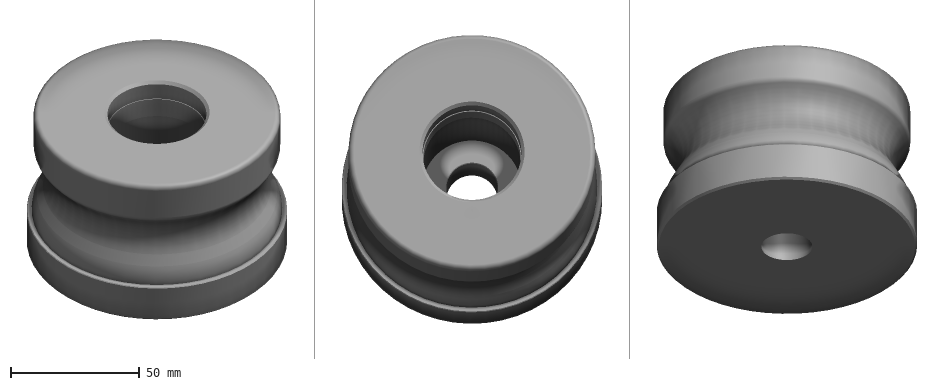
import cadquery as cq
import math

base_radius = 50.8
base_height = 16.0
base_bottom_chamfer = 0.8
base_edge_chamfer = 0.3
shaft_hole_radius = 10.0

total_height = 63.5
rim_radius = 48.2
rim_top_fillet = 2.0
rim_lower_fillet = 3.0
foot_radius = 48.9
waist_radius = 42.5
curve_radius = 15.0
flank_angle = math.radians(30)

bore_radius = 19.3
bore_chamfer_width = 1.2
bore_chamfer_depth = 1.0
land_radius = 19.0
land_top_depth = 8.0
land_height = 8.3


def arc_point(center, radius, angle):
    """Point (r, z) on a circle, angle counted from the +r direction."""
    return (center[0] + radius * math.cos(angle), center[1] + radius * math.sin(angle))


def make_base():
    """Flat disc with a through hole for the shaft."""
    disc = cq.Workplane("XY").circle(base_radius).extrude(base_height)
    disc = disc.faces("<Z").edges().chamfer(base_bottom_chamfer)
    disc = disc.cut(cq.Workplane("XY").circle(shaft_hole_radius).extrude(base_height))
    return disc.faces(">Z").edges().chamfer(base_edge_chamfer)


def make_wheel_blank():
    """Solid of revolution: convex foot, straight flank, concave waist and rounded rim."""
    foot_center = (foot_radius - curve_radius, base_height)
    foot_mid = arc_point(foot_center, curve_radius, flank_angle / 2)
    foot_end = arc_point(foot_center, curve_radius, flank_angle)

    waist_center_r = waist_radius + curve_radius
    flank_end_r = waist_center_r - curve_radius * math.cos(flank_angle)
    flank_end_z = foot_end[1] + (foot_end[0] - flank_end_r) / math.tan(flank_angle)
    waist_center = (waist_center_r, flank_end_z + curve_radius * math.sin(flank_angle))

    fillet_center_r = rim_radius - rim_lower_fillet
    center_distance = curve_radius + rim_lower_fillet
    turn_angle = math.acos((waist_center_r - fillet_center_r) / center_distance)
    fillet_center = (fillet_center_r, waist_center[1] + center_distance * math.sin(turn_angle))
    waist_mid = (waist_radius, waist_center[1])
    waist_end = arc_point(waist_center, curve_radius, math.pi - turn_angle)
    fillet_mid = arc_point(fillet_center, rim_lower_fillet, -turn_angle / 2)

    top_fillet_center = (rim_radius - rim_top_fillet, total_height - rim_top_fillet)
    top_fillet_mid = arc_point(top_fillet_center, rim_top_fillet, math.pi / 4)

    profile = (
        cq.Workplane("XZ")
        .moveTo(0, base_height)
        .lineTo(foot_radius, base_height)
        .threePointArc(foot_mid, foot_end)
        .lineTo(flank_end_r, flank_end_z)
        .threePointArc(waist_mid, waist_end)
        .threePointArc(fillet_mid, (rim_radius, fillet_center[1]))
        .lineTo(rim_radius, top_fillet_center[1])
        .threePointArc(top_fillet_mid, (top_fillet_center[0], total_height))
        .lineTo(0, total_height)
        .close()
    )
    return profile.revolve(360, (0, 0), (0, 1))


def make_bore():
    """Cutting tool for the through bore, narrowed by a shallow land and chamfered at the top."""
    land_top = total_height - land_top_depth
    land_bottom = land_top - land_height
    profile = (
        cq.Workplane("XZ")
        .moveTo(0, base_height)
        .lineTo(bore_radius, base_height)
        .lineTo(bore_radius, land_bottom)
        .lineTo(land_radius, land_bottom)
        .lineTo(land_radius, land_top)
        .lineTo(bore_radius, land_top)
        .lineTo(bore_radius, total_height - bore_chamfer_depth)
        .lineTo(bore_radius + bore_chamfer_width, total_height)
        .lineTo(0, total_height)
        .close()
    )
    return profile.revolve(360, (0, 0), (0, 1))


base = make_base()
wheel = make_wheel_blank().cut(make_bore())

result = cq.Compound.makeCompound([base.val(), wheel.val()])